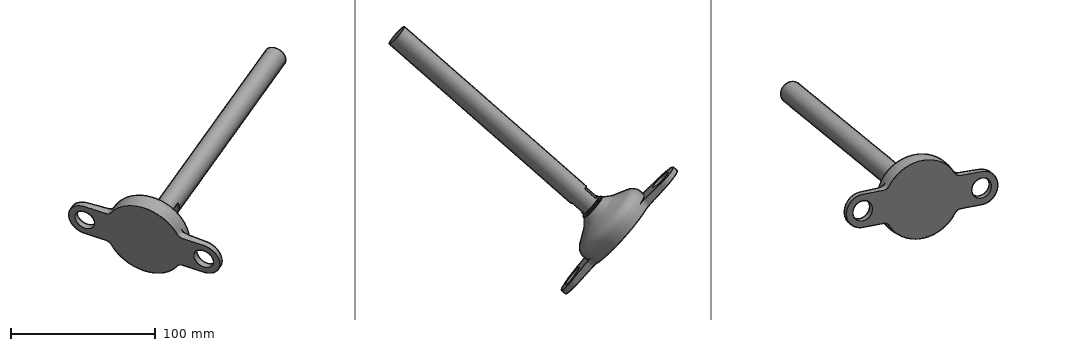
import cadquery as cq
import math

total_length = 208.0

foot_radius = 30.0
sole_radius = 29.3
flange_height = 5.6
straight_top = 8.5
shoulder_radius = 8.1
lower_cone_angle = 30.0
neck_radius = 15.2
neck_level = 21.2
rim_radius = 9.5
rim_level = 27.0
rim_height = 0.8

overall_width = 116.0
ear_radius = 12.5
ear_tip_height = 3.7
ear_hole_radius = 7.5
ear_fillet = 5.0
ear_hole_offset = overall_width / 2 - ear_radius

stud_radius = 8.0
pin_radius = 6.5
pin_end_level = neck_level
taper_top = 28.3
flat_start = 29.5
flat_length = 10.0
flat_half_width = 6.7


def revolve_about_stud_axis(profile):
    return profile.close().revolve(360, (0, 0, 0), (0, 1, 0))


def cylinder_along_y(radius, height, x=0.0):
    return cq.Workplane("XZ").center(x, 0).circle(radius).extrude(-height)


def make_flange():
    flange = revolve_about_stud_axis(
        cq.Workplane("XY")
        .lineTo(sole_radius, 0)
        .lineTo(foot_radius, flange_height)
        .lineTo(0, flange_height)
    )
    ears = (
        cq.Workplane("XZ")
        .slot2D(overall_width, 2 * ear_radius)
        .extrude(-flange_height)
    )
    flange = flange.union(ears)

    half_height = flange_height / 2
    mean_radius = (sole_radius + foot_radius) / 2
    corner_x = math.sqrt(mean_radius**2 - ear_radius**2)
    for x in (-corner_x, corner_x):
        for z in (-ear_radius, ear_radius):
            corner = cq.selectors.NearestToPointSelector((x, half_height, z))
            flange = flange.edges(corner).fillet(ear_fillet)

    envelope = revolve_about_stud_axis(
        cq.Workplane("XY")
        .lineTo(overall_width / 2, 0)
        .lineTo(overall_width / 2, ear_tip_height)
        .lineTo(foot_radius, flange_height)
        .lineTo(0, flange_height)
    )
    flange = flange.intersect(envelope)

    for x in (-ear_hole_offset, ear_hole_offset):
        flange = flange.cut(cylinder_along_y(ear_hole_radius, flange_height, x))
    return flange


def shoulder_point(angle):
    """Point on the shoulder arc, at an angle in degrees from the radial direction."""
    turn = math.radians(angle)
    return (
        foot_radius - shoulder_radius + shoulder_radius * math.cos(turn),
        straight_top + shoulder_radius * math.sin(turn),
    )


def make_dome():
    arc_end_angle = 90 - lower_cone_angle
    return revolve_about_stud_axis(
        cq.Workplane("XY")
        .moveTo(0, flange_height)
        .lineTo(foot_radius, flange_height)
        .lineTo(foot_radius, straight_top)
        .threePointArc(shoulder_point(arc_end_angle / 2), shoulder_point(arc_end_angle))
        .lineTo(neck_radius, neck_level)
        .lineTo(rim_radius, rim_level - rim_height)
        .lineTo(rim_radius, rim_level)
        .lineTo(0, rim_level)
    )


def make_foot():
    socket_depth = rim_level - pin_end_level
    socket = cylinder_along_y(pin_radius, socket_depth).translate((0, pin_end_level, 0))
    return make_flange().union(make_dome()).cut(socket)


def make_stud():
    stud = revolve_about_stud_axis(
        cq.Workplane("XY")
        .moveTo(0, pin_end_level)
        .lineTo(pin_radius, pin_end_level)
        .lineTo(pin_radius, rim_level)
        .lineTo(stud_radius, taper_top)
        .lineTo(stud_radius, total_length)
        .lineTo(0, total_length)
    )
    for side in (-1, 1):
        cutter = cq.Workplane("XY").box(stud_radius, flat_length, 2 * stud_radius)
        cutter_x = side * (flat_half_width + stud_radius / 2)
        stud = stud.cut(cutter.translate((cutter_x, flat_start + flat_length / 2, 0)))
    return stud


foot = make_foot()
stud = make_stud()
result = cq.Compound.makeCompound([*foot.solids().vals(), *stud.solids().vals()])